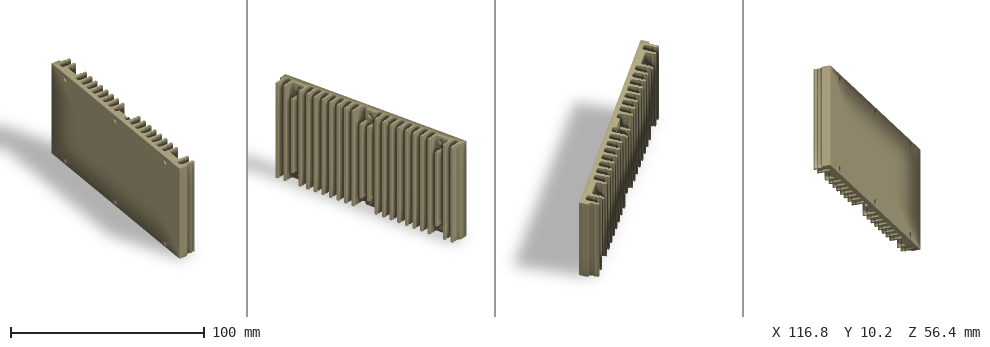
import cadquery as cq

length = 116.8
depth = 10.2
height = 56.4

fin_count = 24
fin_pitch = 4.9
fin_thickness = 1.3
half_fin = fin_thickness / 2
root_flare = 0.18
wave_start = 6.5
wave_length = 1.0
wave_height = 0.2
wave_sides = (-1, 1, -1)

groove_floor = 2.5
pad_floor = 4.9
groove_radius = 1.0
pad_radius = 0.8
shoulder_radius = 0.2
pad_gaps = (1, 2, 11, 20, 21)

hole_diameter = 3.3
hole_spacing_x = 45.7
hole_edge_distance = 2.8
clearance_floor = 4.5
clearance_width = 7.7
clearance_height = 6.3
clearance_offset = 46.5


def fin_x(index):
    """X of the centre plane of a fin."""
    return (index - (fin_count - 1) / 2) * fin_pitch


def half_thickness(y):
    """Half the fin thickness at height y below the wave, flaring towards the root."""
    flare_end = groove_floor + groove_radius
    return half_fin + root_flare * (wave_start - y) / (wave_start - flare_end)


def climb_face(outline, x):
    """Follow a fin face from the base of its wave up to the tip."""
    outline = outline.lineTo(x, wave_start)
    y = wave_start
    for side in wave_sides:
        outline = outline.threePointArc(
            (x + side * wave_height, y + wave_length / 2), (x, y + wave_length)
        )
        y += wave_length
    return outline.lineTo(x, depth)


def descend_face(outline, x):
    """Follow a fin face from the tip down to the end of its wave."""
    y = wave_start + len(wave_sides) * wave_length
    outline = outline.lineTo(x, y)
    for side in reversed(wave_sides):
        outline = outline.threePointArc(
            (x + side * wave_height, y - wave_length / 2), (x, y - wave_length)
        )
        y -= wave_length
    return outline


def floor_size(gap):
    """Floor level and corner radius of the gap after the fin with this index."""
    if gap in pad_gaps:
        return pad_floor, pad_radius
    return groove_floor, groove_radius


def profile():
    """Closed XY outline of the finned extrusion."""
    shoulder_top = pad_floor + pad_radius
    first_face = fin_x(0) - half_thickness(shoulder_top)
    outline = (
        cq.Workplane("XY")
        .moveTo(-length / 2, 0)
        .lineTo(-length / 2, pad_floor - shoulder_radius)
        .radiusArc((shoulder_radius - length / 2, pad_floor), shoulder_radius)
        .lineTo(first_face - pad_radius, pad_floor)
        .radiusArc((first_face, shoulder_top), -pad_radius)
    )
    for index in range(fin_count):
        left = fin_x(index) - half_fin
        right = left + fin_thickness
        outline = climb_face(outline, left).lineTo(right, depth)
        outline = descend_face(outline, right)
        if index == fin_count - 1:
            break
        floor, radius = floor_size(index)
        root_top = floor + radius
        gap_start = fin_x(index) + half_thickness(root_top)
        gap_end = fin_x(index + 1) - half_thickness(root_top)
        outline = (
            outline.lineTo(gap_start, root_top)
            .radiusArc((gap_start + radius, floor), -radius)
            .lineTo(gap_end - radius, floor)
            .radiusArc((gap_end, root_top), -radius)
        )
    return (
        outline.lineTo(-first_face, shoulder_top)
        .radiusArc((pad_radius - first_face, pad_floor), -pad_radius)
        .lineTo(length / 2 - shoulder_radius, pad_floor)
        .radiusArc((length / 2, pad_floor - shoulder_radius), shoulder_radius)
        .lineTo(length / 2, 0)
        .close()
    )


def clearance(x, end):
    """Block that removes the fins beside a hole, at the top (1) or bottom (-1) end."""
    return cq.Workplane("XY").box(
        clearance_width, depth - clearance_floor, clearance_height
    ).translate(
        (x, (depth + clearance_floor) / 2, end * (height - clearance_height) / 2)
    )


body = profile().extrude(height / 2, both=True)

for end in (-1, 1):
    for x in (-clearance_offset, 0, clearance_offset):
        body = body.cut(clearance(x, end))

holes = (
    cq.Workplane("XZ")
    .rarray(hole_spacing_x, height - 2 * hole_edge_distance, 3, 2)
    .circle(hole_diameter / 2)
    .extrude(-depth)
)

result = body.cut(holes)